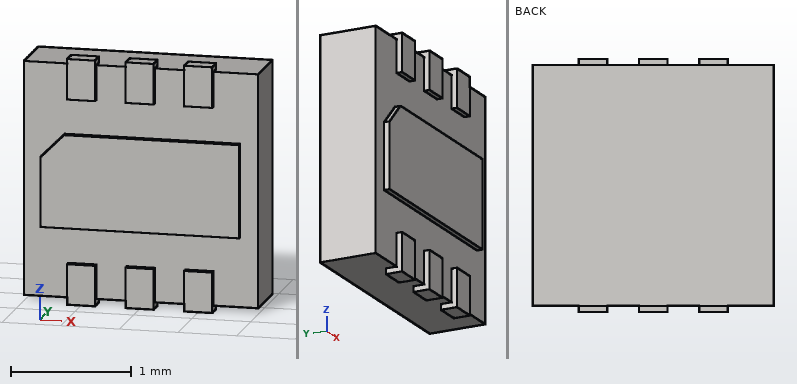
import cadquery as cq

total_depth = 0.57
total_height = 2.1
housing_side = 2.0

lead_width = 0.237
lead_face_length = 0.346
lead_wrap_depth = 0.15
lead_pitch = 0.5
leads_per_edge = 3

pad_width = 1.693
pad_height = 0.795
pad_corner_chamfer = 0.2

metal_thickness = (total_height - housing_side) / 2
housing_depth = total_depth - metal_thickness


def make_housing():
    """Square block that carries the leads and the pad."""
    return cq.Workplane("XY").box(
        housing_side, housing_depth, housing_side, centered=(True, False, True)
    )


def make_pad():
    """Raised plate with its upper left corner cut off to mark the first lead."""
    plate = (
        cq.Workplane("XY")
        .box(pad_width, metal_thickness, pad_height)
        .translate((0, -metal_thickness / 2, 0))
    )
    return plate.edges("|Y and <X and >Z").chamfer(pad_corner_chamfer)


def make_lead(x_center):
    """L-shaped lead that wraps the top front edge of the housing."""
    edge_z = housing_side / 2
    tip_z = total_height / 2
    foot_z = tip_z - lead_face_length
    wrap_y = lead_wrap_depth - metal_thickness
    return (
        cq.Workplane("YZ", origin=(x_center, 0, 0))
        .moveTo(-metal_thickness, foot_z)
        .lineTo(0, foot_z)
        .lineTo(0, edge_z)
        .lineTo(wrap_y, edge_z)
        .lineTo(wrap_y, tip_z)
        .lineTo(-metal_thickness, tip_z)
        .close()
        .extrude(lead_width / 2, both=True)
    )


housing = make_housing()
pad = make_pad()

leads = []
for index in range(leads_per_edge):
    x_center = (index - (leads_per_edge - 1) / 2) * lead_pitch
    top_lead = make_lead(x_center)
    bottom_lead = top_lead.mirror("XY")
    leads.append(top_lead.val())
    leads.append(bottom_lead.val())

result = cq.Compound.makeCompound([housing.val(), pad.val(), *leads])